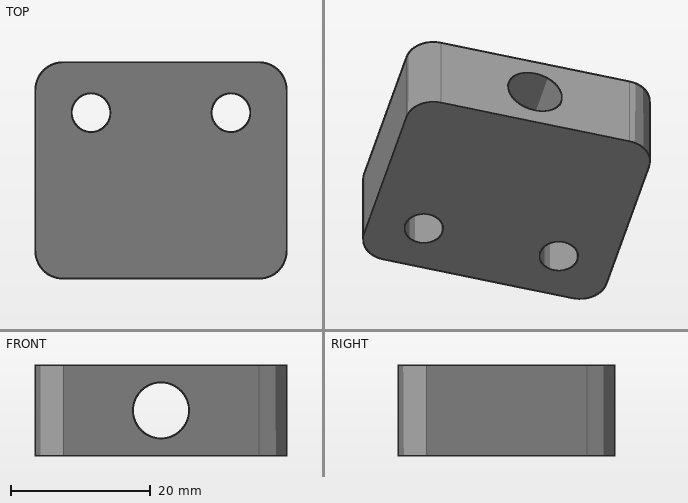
import cadquery as cq

length = 36.0
width = 31.0
height = 13.0
corner_radius = 4.0

bore_diameter = 8.0

hole_diameter = 5.5
hole_spacing = 20.0
hole_back_margin = 7.25
hole_y = width / 2 - hole_back_margin

block = cq.Workplane("XY").box(length, width, height).edges("|Z").fillet(corner_radius)

bore = cq.Workplane("XZ").circle(bore_diameter / 2).extrude(width / 2, both=True)

mounting_holes = (
    cq.Workplane("XY")
    .pushPoints([(side * hole_spacing / 2, hole_y) for side in (-1, 1)])
    .circle(hole_diameter / 2)
    .extrude(height / 2, both=True)
)

result = block.cut(bore).cut(mounting_holes)